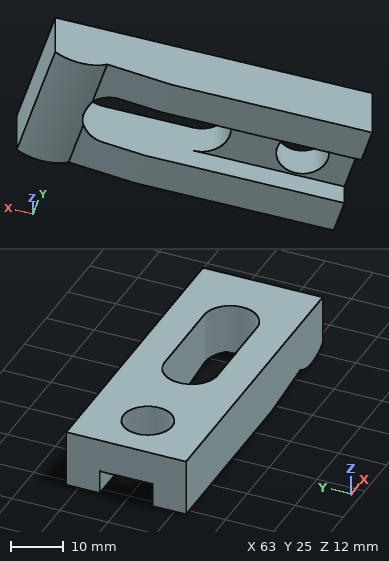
import cadquery as cq

length = 63.0
width = 25.0
height = 12.0

ramp_start = 39.7
nose_start = 52.65
nose_rise = 1.5
nose_middle = (nose_start + length) / 2

hole_diameter = 10.0
hole_x = 10.0
slot_width = 10.95
slot_length = 29.0
slot_x = 39.0

groove_depth = 5.0
groove_end = slot_x + (slot_length - slot_width) / 2


def make_body():
    """Side profile extruded across the width, centred on Y = 0."""
    profile = (
        cq.Workplane("XZ")
        .moveTo(0, 0)
        .lineTo(ramp_start, 0)
        .lineTo(nose_start, nose_rise)
        .threePointArc((nose_middle, 0), (length, nose_rise))
        .lineTo(length, height)
        .lineTo(0, height)
        .close()
    )
    return profile.extrude(width / 2, both=True)


def make_hole():
    return cq.Workplane("XY").center(hole_x, 0).circle(hole_diameter / 2).extrude(height)


def make_slot():
    return cq.Workplane("XY").center(slot_x, 0).slot2D(slot_length, slot_width).extrude(height)


def make_groove():
    """Groove open at the heel end, running into the rounded far end of the slot."""
    return cq.Workplane("XY").box(groove_end, slot_width, groove_depth, centered=(False, True, False))


result = make_body().cut(make_hole()).cut(make_slot()).cut(make_groove())